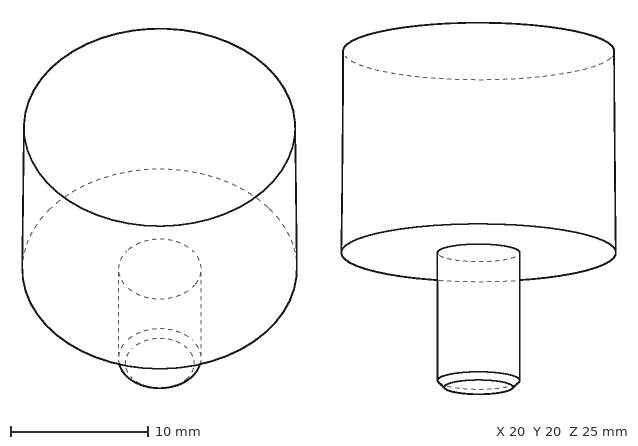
import cadquery as cq

head_height = 15.0
base_radius = 10.0
top_radius = 9.88

stud_length = 10.0
stud_radius = 3.0
stud_chamfer = 0.5

head_profile = (
    cq.Workplane("XZ")
    .moveTo(0, 0)
    .lineTo(base_radius, 0)
    .lineTo(top_radius, head_height)
    .lineTo(0, head_height)
    .close()
)
head = head_profile.revolve(360, (0, 0), (0, 1))

stud = (
    cq.Workplane("XY")
    .circle(stud_radius)
    .extrude(-stud_length)
    .faces("<Z")
    .chamfer(stud_chamfer)
)

result = head.union(stud)